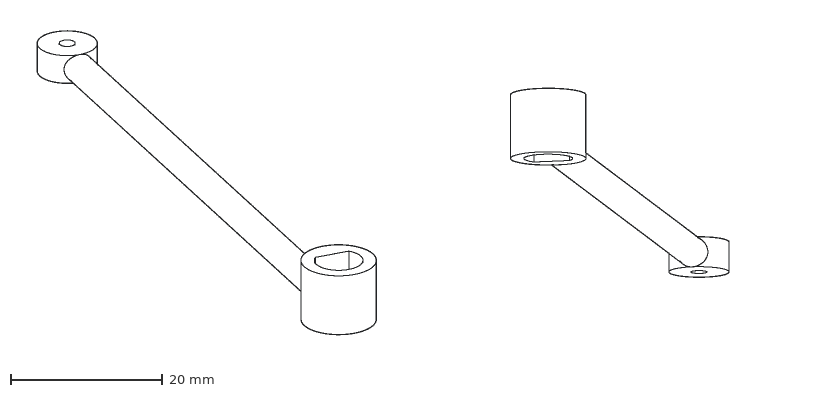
import cadquery as cq

length = 96.0
hub_diameter = 10.0
hub_height = 8.5
eye_diameter = 8.0
eye_height = 4.0
eye_hole_diameter = 2.1
rod_diameter = 4.0
bore_diameter = 6.4
bore_flat_offset = 2.1

eye_x = -length / 2 + eye_diameter / 2
hub_x = length / 2 - hub_diameter / 2


def upright_cylinder(x, diameter, height):
    return cq.Workplane("XY").center(x, 0).circle(diameter / 2).extrude(height)


def connecting_rod():
    """Round rod between the two end axes, lying on the base plane."""
    return (
        cq.Workplane("YZ", origin=(eye_x, 0, rod_diameter / 2))
        .circle(rod_diameter / 2)
        .extrude(hub_x - eye_x)
    )


def d_bore():
    """Through bore with a flat on the side facing the rod."""
    flat_clip = (
        cq.Workplane("XY")
        .center(hub_x - bore_flat_offset, 0)
        .rect(bore_diameter, bore_diameter)
        .extrude(hub_height)
        .translate((bore_diameter / 2, 0, 0))
    )
    return upright_cylinder(hub_x, bore_diameter, hub_height).intersect(flat_clip)


eye = upright_cylinder(eye_x, eye_diameter, eye_height)
hub = upright_cylinder(hub_x, hub_diameter, hub_height)
eye_hole = upright_cylinder(eye_x, eye_hole_diameter, eye_height)

result = connecting_rod().union(eye).union(hub).cut(eye_hole).cut(d_bore())